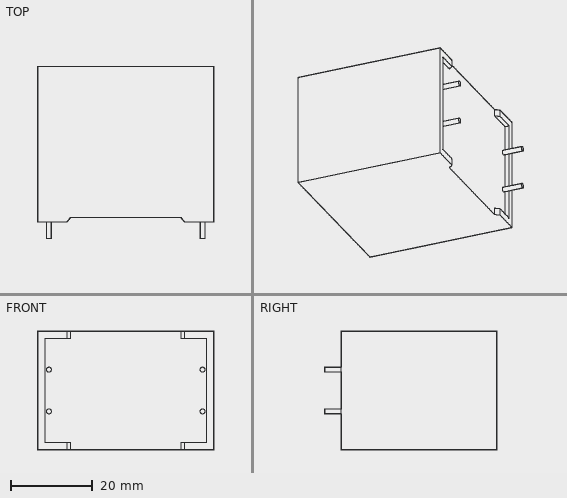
import cadquery as cq

CASE_LENGTH = 43.0
CASE_DEPTH = 38.0
CASE_HEIGHT = 29.0

WALL = 1.75
RIM_HEIGHT = 1.1
GAP_LENGTH = 26.9
GAP_BEVEL = 0.9

PIN_DIAMETER = 1.2
PIN_REACH = 4.0
PIN_SPACING_X = 37.5
PIN_SPACING_Z = 10.2

RIM_FACE_Y = 0.0
SEAL_FACE_Y = RIM_FACE_Y + RIM_HEIGHT
PIN_TIP_Y = RIM_FACE_Y - PIN_REACH
PIN_LENGTH = SEAL_FACE_Y - PIN_TIP_Y


def case_block():
    """Solid block filling the whole case outline."""
    return cq.Workplane("XY").box(CASE_LENGTH, CASE_DEPTH, CASE_HEIGHT, centered=(True, False, True))


def rim_recess():
    """Shallow rectangular recess inside the rim."""
    return cq.Workplane("XY").box(
        CASE_LENGTH - 2 * WALL, RIM_HEIGHT, CASE_HEIGHT - 2 * WALL, centered=(True, False, True)
    )


def rim_gap():
    """Bevelled gap through both long walls, as deep as the recess."""
    floor_x = GAP_LENGTH / 2
    mouth_x = floor_x + GAP_BEVEL
    outline = [
        (-mouth_x, RIM_FACE_Y),
        (mouth_x, RIM_FACE_Y),
        (floor_x, SEAL_FACE_Y),
        (-floor_x, SEAL_FACE_Y),
    ]
    return (
        cq.Workplane("XY")
        .polyline(outline)
        .close()
        .extrude(CASE_HEIGHT / 2, both=True)
    )


def pins():
    """Four round pins on the sealed face, pointing toward -Y."""
    return (
        cq.Workplane("XZ", origin=(0, SEAL_FACE_Y, 0))
        .rarray(PIN_SPACING_X, PIN_SPACING_Z, 2, 2)
        .circle(PIN_DIAMETER / 2)
        .extrude(PIN_LENGTH)
    )


capacitor = case_block().cut(rim_recess()).cut(rim_gap()).union(pins())

result = cq.Compound.makeCompound([capacitor.val()])